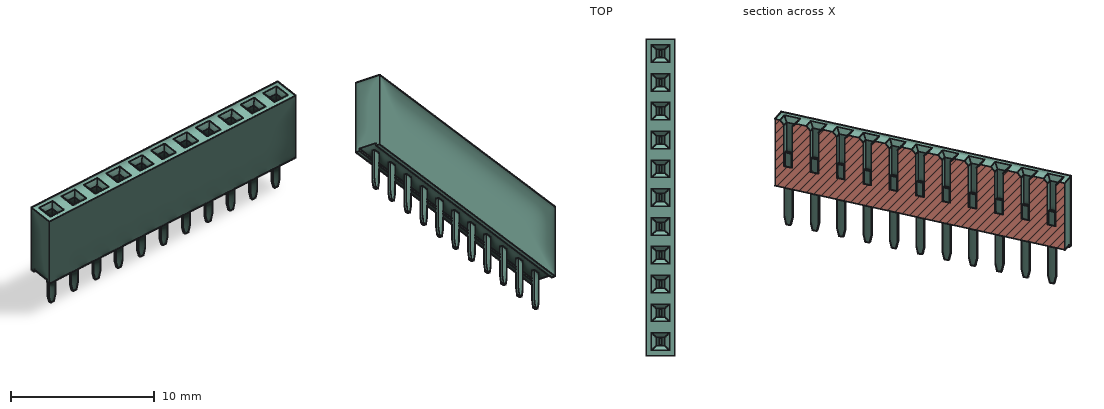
import cadquery as cq


body_length = 22.0
contact_count = 11
pitch = body_length / contact_count

body_width = pitch
body_height = 5.59
foot_width = 0.3
foot_height = 0.2
channel_width = body_width - 2 * foot_width

pin_thickness = 0.2
pin_width = 0.6
pin_length = 2.7
tip_length = 0.6
tip_width = 0.3

mouth_size_x = 1.25
mouth_size_y = 1.2
funnel_depth = 0.33
hole_size = pin_width
hole_depth = 3.3
blade_width = 0.46
blade_height = 1.1
hole_top_z = body_height - funnel_depth
hole_floor_z = hole_top_z - hole_depth


def centred_box(size_x, size_y, bottom_z, top_z):
    """Box centred on the Z axis between two heights."""
    box = cq.Workplane("XY").box(size_x, size_y, top_z - bottom_z, centered=(True, True, False))
    return box.translate((0, 0, bottom_z))


def make_body():
    """Block with a channel along the underside that leaves a foot on each side."""
    block = centred_box(body_width, body_length, 0, body_height)
    channel = centred_box(channel_width, body_length, 0, foot_height)
    return block.cut(channel)


def make_socket():
    """Space inside one socket: a funnel and a square hole around the contact blade."""
    funnel = (
        cq.Workplane("XY", origin=(0, 0, body_height))
        .rect(mouth_size_x, mouth_size_y)
        .workplane(offset=-funnel_depth)
        .rect(hole_size, hole_size)
        .loft(ruled=True)
    )
    hole = centred_box(hole_size, hole_size, hole_floor_z, hole_top_z)
    blade = centred_box(pin_thickness, blade_width, hole_floor_z, hole_floor_z + blade_height)
    return funnel.union(hole).cut(blade)


def make_pin():
    """Flat pin with a tapered tip, hanging from the roof of the channel."""
    half_width = pin_width / 2
    half_tip = tip_width / 2
    shoulder_z = tip_length - pin_length
    outline = [
        (-half_width, foot_height),
        (-half_width, shoulder_z),
        (-half_tip, -pin_length),
        (half_tip, -pin_length),
        (half_width, shoulder_z),
        (half_width, foot_height),
    ]
    return cq.Workplane("YZ").polyline(outline).close().extrude(pin_thickness / 2, both=True)


result = make_body()
socket = make_socket()
pin = make_pin()
for index in range(contact_count):
    contact_y = (index - (contact_count - 1) / 2) * pitch
    result = result.cut(socket.translate((0, contact_y, 0)))
    result = result.union(pin.translate((0, contact_y, 0)))